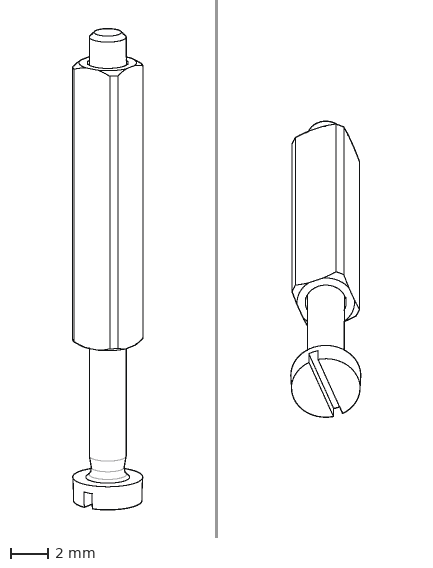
import cadquery as cq
import math

TOTAL_LENGTH = 26.3
SHANK_DIAMETER = 2.0
TIP_CHAMFER = 0.25

HEAD_DIAMETER = 3.8
HEAD_BOTTOM_DIAMETER = 3.7
HEAD_HEIGHT = 1.32
SLOT_WIDTH = 0.53
SLOT_DEPTH = 0.87

FLARE_DIAMETER = 2.37
FLARE_TOP_DIAMETER = 2.03
FLARE_HEIGHT = 0.15
WAIST_DIAMETER = 1.8
WAIST_HEIGHT = 0.55
SHANK_START_HEIGHT = 1.18

SLEEVE_WIDTH = 3.0
SLEEVE_CORNER_CHAMFER = 0.32
SLEEVE_BOTTOM = 8.85
SLEEVE_LENGTH = 15.73
SLEEVE_BORE = 2.2
SLEEVE_FACE_DIAMETER = 3.1
SLEEVE_CHAMFER_ANGLE = 30.0


def make_screw():
    """Revolve the stepped screw about Z, then cut the driver slot along Y."""
    shank_radius = SHANK_DIAMETER / 2
    flare_top_z = HEAD_HEIGHT + FLARE_HEIGHT
    waist_z = HEAD_HEIGHT + WAIST_HEIGHT

    screw = (
        cq.Workplane("XZ")
        .lineTo(HEAD_BOTTOM_DIAMETER / 2, 0)
        .lineTo(HEAD_DIAMETER / 2, HEAD_HEIGHT)
        .lineTo(FLARE_DIAMETER / 2, HEAD_HEIGHT)
        .lineTo(FLARE_TOP_DIAMETER / 2, flare_top_z)
        .spline(
            [(WAIST_DIAMETER / 2, waist_z)],
            tangents=[(-1, 1), (0, 1)],
            includeCurrent=True,
        )
        .lineTo(shank_radius, HEAD_HEIGHT + SHANK_START_HEIGHT)
        .lineTo(shank_radius, TOTAL_LENGTH - TIP_CHAMFER)
        .lineTo(shank_radius - TIP_CHAMFER, TOTAL_LENGTH)
        .lineTo(0, TOTAL_LENGTH)
        .close()
        .revolve(360, (0, 0, 0), (0, 1, 0))
    )
    slot = cq.Workplane("XY").box(
        SLOT_WIDTH, HEAD_DIAMETER, SLOT_DEPTH, centered=(True, True, False)
    )
    return screw.cut(slot)


def make_sleeve():
    """Square bar with chamfered corners, coned ends and a clearance bore."""
    face_radius = SLEEVE_FACE_DIAMETER / 2
    corner_radius = SLEEVE_WIDTH / math.sqrt(2)
    sleeve_top = SLEEVE_BOTTOM + SLEEVE_LENGTH
    cone_height = (corner_radius - face_radius) * math.tan(math.radians(SLEEVE_CHAMFER_ANGLE))

    square_bar = (
        cq.Workplane("XY", origin=(0, 0, SLEEVE_BOTTOM))
        .rect(SLEEVE_WIDTH, SLEEVE_WIDTH)
        .extrude(SLEEVE_LENGTH)
        .edges("|Z")
        .chamfer(SLEEVE_CORNER_CHAMFER)
    )
    turned_envelope = (
        cq.Workplane("XZ")
        .moveTo(SLEEVE_BORE / 2, SLEEVE_BOTTOM)
        .lineTo(face_radius, SLEEVE_BOTTOM)
        .lineTo(corner_radius, SLEEVE_BOTTOM + cone_height)
        .lineTo(corner_radius, sleeve_top - cone_height)
        .lineTo(face_radius, sleeve_top)
        .lineTo(SLEEVE_BORE / 2, sleeve_top)
        .close()
        .revolve(360, (0, 0, 0), (0, 1, 0))
    )
    return square_bar.intersect(turned_envelope)


screw = make_screw()
sleeve = make_sleeve()
result = cq.Compound.makeCompound([screw.val(), sleeve.val()])